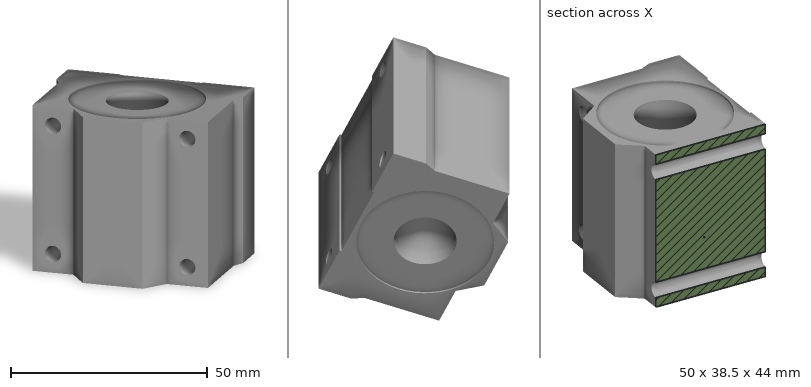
import cadquery as cq

width = 50.0
depth = 38.5
length = 44.0

body_width = 47.0
flange_thickness = 9.0
flange_taper_end = 12.0
body_depth = 32.5
nose_base_width = 25.0
nose_tip_width = 16.0
relief_width = 21.75
relief_depth = 0.5

bore_diameter = 16.0
recess_diameter = 35.0
recess_depth = 0.5
bore_to_mounting_face = 19.0

hole_diameter = 4.3
hole_spacing_x = 36.0
hole_spacing_z = 34.0

mounting_y = bore_to_mounting_face
front_y = mounting_y - depth


def make_block():
    """Extrude the symmetric cross-section, centred on Z = 0."""
    half_outline = [
        (relief_width / 2, mounting_y - relief_depth),
        (relief_width / 2, mounting_y),
        (width / 2, mounting_y),
        (width / 2, mounting_y - flange_thickness),
        (body_width / 2, mounting_y - flange_taper_end),
        (body_width / 2, mounting_y - body_depth),
        (nose_base_width / 2, mounting_y - body_depth),
        (nose_tip_width / 2, front_y),
    ]
    mirrored_half = [(-x, y) for x, y in reversed(half_outline)]
    outline = cq.Workplane("XY").polyline(half_outline + mirrored_half).close()
    return outline.extrude(length / 2, both=True)


def make_bore():
    """Through bore joined with the recesses in both end faces."""
    bore = cq.Workplane("XY").circle(bore_diameter / 2).extrude(length / 2, both=True)
    for start_z in (-length / 2, length / 2 - recess_depth):
        end_plane = cq.Workplane("XY").workplane(offset=start_z)
        bore = bore.union(end_plane.circle(recess_diameter / 2).extrude(recess_depth))
    return bore


def make_mounting_holes():
    """Four cylinders through the full depth, at the corners of a rectangle."""
    return (
        cq.Workplane("XZ", origin=(0, mounting_y, 0))
        .rect(hole_spacing_x, hole_spacing_z, forConstruction=True)
        .vertices()
        .circle(hole_diameter / 2)
        .extrude(depth)
    )


result = make_block().cut(make_bore()).cut(make_mounting_holes())